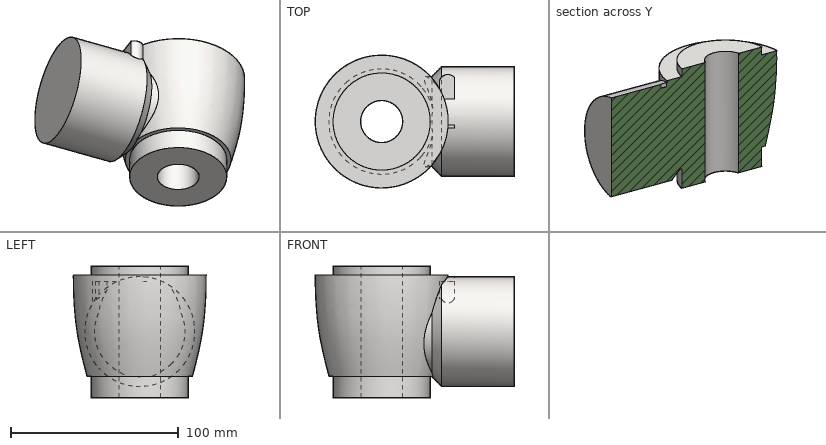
import cadquery as cq

height = 78.5
arm_reach = 79.1

collar_radius = 29.0
bore_radius = 12.5
hub_bottom = 12.8
hub_top = 73.4
hub_bottom_radius = 31.5
hub_middle_radius = 37.3
hub_middle_z = 38.6
hub_top_radius = 39.7
hub_bottom_slope = (0.27, 1)
hub_top_slope = (0, 1)

arm_radius = 32.8
arm_z = 39.5
arm_shoulder_x = 35.7
neck_chamfer = 5.8

tab_top = 69.5
tab_left = 34.4
tab_right = 43.3
tab_root_y = 9.5
tab_tip_y = 28.0
tab_side_y = 24.3
tab_corner_y = 26.4
tab_arc_x = 39.2

notch_left = hub_top_radius
notch_right = tab_right
notch_near_y = -3.9
notch_far_y = -2.0
notch_floor = tab_top


def make_hub():
    """Barrel that tapers in a smooth curve to its lower end, on a full-height collar."""
    collar = cq.Workplane("XY").circle(collar_radius).extrude(height)
    barrel = (
        cq.Workplane("XZ")
        .moveTo(0, hub_bottom)
        .lineTo(hub_bottom_radius, hub_bottom)
        .spline(
            [(hub_middle_radius, hub_middle_z), (hub_top_radius, hub_top)],
            tangents=[hub_bottom_slope, hub_top_slope],
            includeCurrent=True,
        )
        .lineTo(0, hub_top)
        .close()
        .revolve(360, (0, 0, 0), (0, 1, 0))
    )
    return collar.union(barrel)


def make_arm():
    """Round arm along +X with a conical shoulder down to a narrower neck."""
    neck_radius = arm_radius - neck_chamfer
    arm_plane = cq.Workplane("YZ").center(0, arm_z)
    neck = arm_plane.circle(neck_radius).extrude(arm_shoulder_x)
    sleeve = (
        cq.Workplane("YZ", origin=(arm_shoulder_x - neck_chamfer, 0, arm_z))
        .circle(arm_radius)
        .extrude(arm_reach - arm_shoulder_x + neck_chamfer)
        .faces("<X")
        .chamfer(neck_chamfer)
    )
    return neck.union(sleeve)


def make_tab():
    """Upright tab rising from the middle height of the arm."""
    return (
        cq.Workplane("XY", origin=(0, 0, arm_z))
        .moveTo(tab_left, tab_root_y)
        .lineTo(tab_right, tab_root_y)
        .lineTo(tab_right, tab_corner_y)
        .threePointArc((tab_arc_x, tab_tip_y), (tab_left, tab_side_y))
        .close()
        .extrude(tab_top - arm_z)
    )


def make_notch():
    """Cutter for the small recess on the arm crest."""
    return cq.Workplane("XY").box(
        notch_right - notch_left, notch_far_y - notch_near_y, height - notch_floor, centered=False
    ).translate((notch_left, notch_near_y, notch_floor))


bore = cq.Workplane("XY").circle(bore_radius).extrude(height)
result = make_hub().union(make_arm()).union(make_tab()).cut(make_notch()).cut(bore)